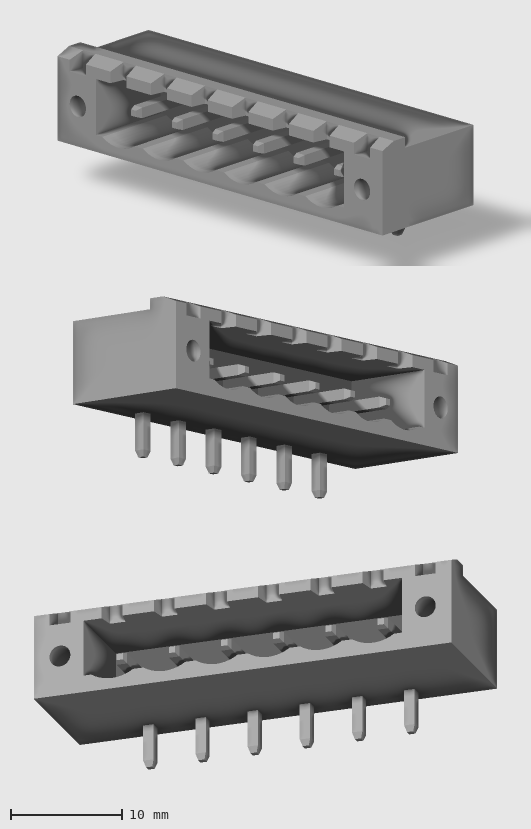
import cadquery as cq


pole_count = 6
pitch = 5.0
flange_offset = pitch
contact_height = 3.8

length = 40.0
depth = 12.0
height = 8.6
rear_height = 7.6
lip_depth = 3.0
bevel_depth = 1.5
bevel_drop = 0.6
front_y = -depth / 2
rear_y = depth / 2

cavity_length = 30.5
cavity_depth = 8.5
cavity_floor = 1.6
cavity_ceiling = 6.9
scallop_width = 4.0
scallop_sag = 0.6

notch_front_width = 2.0
notch_rear_width = 1.5

insert_diameter = 4.0
insert_hole_diameter = 2.0
insert_depth = 8.5

pin_width = 1.0
pin_tail_length = 4.0
tail_setback = 2.0
contact_setback = 2.0
pin_tail_y = rear_y - tail_setback
pin_tip_y = front_y + contact_setback
tip_length = 0.6
tip_width = 0.6

pole_positions = [(i - (pole_count - 1) / 2) * pitch for i in range(pole_count)]
flange_positions = [pole_positions[0] - flange_offset, pole_positions[-1] + flange_offset]


def make_housing():
    """Stepped block with a raised, bevelled lip along the front."""
    profile = (
        cq.Workplane("YZ", origin=(-length / 2, 0, 0))
        .moveTo(front_y, 0)
        .lineTo(rear_y, 0)
        .lineTo(rear_y, rear_height)
        .lineTo(front_y + lip_depth, rear_height)
        .lineTo(front_y + lip_depth, height)
        .lineTo(front_y + bevel_depth, height)
        .lineTo(front_y, height - bevel_drop)
        .close()
    )
    return profile.extrude(length)


def make_cavity():
    """Rectangular opening whose floor has one shallow arc under each pole."""
    left = -cavity_length / 2
    right = cavity_length / 2
    outline = (
        cq.Workplane("XZ", origin=(0, front_y, 0))
        .moveTo(left, cavity_ceiling)
        .lineTo(left, cavity_floor)
    )
    for x in pole_positions:
        outline = outline.lineTo(x - scallop_width / 2, cavity_floor).threePointArc(
            (x, cavity_floor - scallop_sag),
            (x + scallop_width / 2, cavity_floor),
        )
    outline = outline.lineTo(right, cavity_floor).lineTo(right, cavity_ceiling).close()
    return outline.extrude(-cavity_depth)


def make_notch(x):
    """Coding notch that narrows from the mating face to the rear of the bevel."""
    return (
        cq.Workplane("XY", origin=(x, front_y, cavity_ceiling))
        .moveTo(-notch_front_width / 2, 0)
        .lineTo(notch_front_width / 2, 0)
        .lineTo(notch_rear_width / 2, bevel_depth)
        .lineTo(-notch_rear_width / 2, bevel_depth)
        .close()
        .extrude(height - cavity_ceiling)
    )


def make_flange_cylinder(x, diameter):
    """Cylinder running rearward from the mating face on a flange screw axis."""
    return (
        cq.Workplane("XZ", origin=(x, front_y, contact_height))
        .circle(diameter / 2)
        .extrude(-insert_depth)
    )


def make_leg(plane, straight_length):
    """Square pin leg along the plane normal, ending in a tapered tip."""
    leg = cq.Workplane(plane).rect(pin_width, pin_width).extrude(straight_length)
    tip = (
        cq.Workplane(plane)
        .workplane(offset=straight_length)
        .rect(pin_width, pin_width)
        .workplane(offset=tip_length)
        .rect(tip_width, tip_width)
        .loft(ruled=True)
    )
    return leg.union(tip)


def make_pin(x):
    """Right-angle pin: a contact leg toward -Y and a solder tail toward -Z."""
    bend = (x, pin_tail_y, contact_height)
    contact_plane = cq.Plane(origin=bend, xDir=(1, 0, 0), normal=(0, -1, 0))
    tail_plane = cq.Plane(origin=bend, xDir=(1, 0, 0), normal=(0, 0, -1))
    corner = cq.Workplane("XY").box(pin_width, pin_width, pin_width).translate(bend)
    contact = make_leg(contact_plane, pin_tail_y - pin_tip_y - tip_length)
    tail = make_leg(tail_plane, contact_height + pin_tail_length - tip_length)
    return corner.union(contact).union(tail)


result = make_housing().cut(make_cavity())

for notch_x in pole_positions + flange_positions:
    result = result.cut(make_notch(notch_x))

for pole_x in pole_positions:
    result = result.union(make_pin(pole_x))

for flange_x in flange_positions:
    result = result.union(make_flange_cylinder(flange_x, insert_diameter), clean=False)
    result = result.cut(make_flange_cylinder(flange_x, insert_hole_diameter), clean=False)